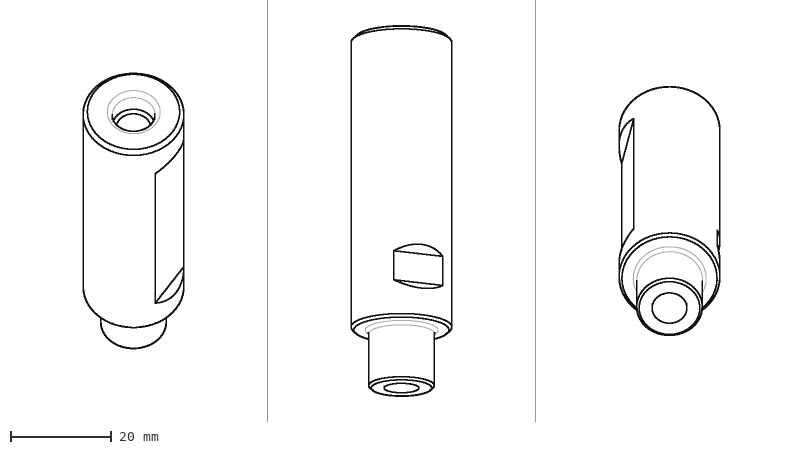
import cadquery as cq
import math

total_length = 72.0
stud_length = 11.95

body_radius = 20.0 / 2
stud_radius = 13.0 / 2
top_chamfer = 0.9
shoulder_chamfer = 0.6
stud_chamfer = 0.5
neck_fillet = 0.7

bore_radius = 6.9 / 2
mouth_radius = 8.5 / 2
mouth_rounding = 1.0
mouth_depth = 5.05
cone_slope = 30

flat_depth = 1.5
flats_bottom = 18.0
short_flat_top = 27.0
long_flat_top = 65.0


def turned_body():
    """Cylinder with a coaxial stud and a filleted neck."""
    return (
        cq.Workplane("XZ")
        .lineTo(stud_radius - stud_chamfer, 0)
        .lineTo(stud_radius, stud_chamfer)
        .lineTo(stud_radius, stud_length - neck_fillet)
        .radiusArc((stud_radius + neck_fillet, stud_length), neck_fillet)
        .lineTo(body_radius - shoulder_chamfer, stud_length)
        .lineTo(body_radius, stud_length + shoulder_chamfer)
        .lineTo(body_radius, total_length - top_chamfer)
        .lineTo(body_radius - top_chamfer, total_length)
        .lineTo(0, total_length)
        .close()
        .revolve(360, (0, 0, 0), (0, 1, 0))
    )


def bore():
    """Through bore opening through a shallow cone into a wider, rounded mouth."""
    cone_top = total_length - mouth_depth
    cone_bottom = cone_top - (mouth_radius - bore_radius) * math.tan(math.radians(cone_slope))
    return (
        cq.Workplane("XZ")
        .lineTo(bore_radius, 0)
        .lineTo(bore_radius, cone_bottom)
        .lineTo(mouth_radius, cone_top)
        .lineTo(mouth_radius, total_length - mouth_rounding)
        .radiusArc((mouth_radius + mouth_rounding, total_length), mouth_rounding)
        .lineTo(0, total_length)
        .close()
        .revolve(360, (0, 0, 0), (0, 1, 0))
    )


def flat_cutter(side, top):
    """Trapezoidal cut on the +X (side=1) or -X (side=-1) flank, with 45 degree ends."""
    floor = side * (body_radius - flat_depth)
    rim = side * body_radius
    return (
        cq.Workplane("XZ")
        .moveTo(rim, flats_bottom)
        .lineTo(floor, flats_bottom + flat_depth)
        .lineTo(floor, top - flat_depth)
        .lineTo(rim, top)
        .close()
        .extrude(body_radius, both=True)
    )


result = (
    turned_body()
    .cut(bore())
    .cut(flat_cutter(-1, short_flat_top))
    .cut(flat_cutter(1, long_flat_top))
)